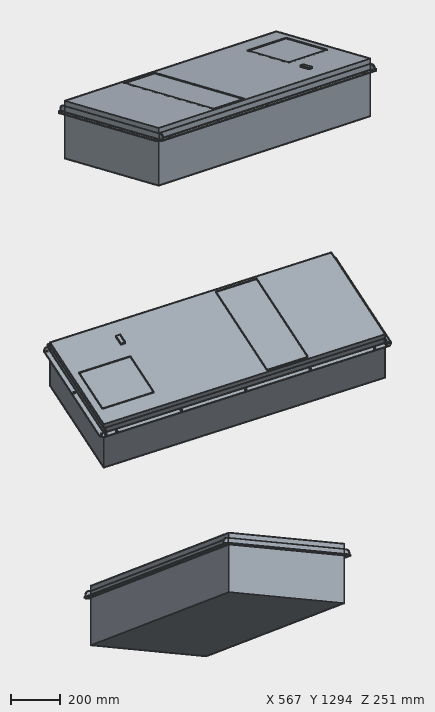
import cadquery as cq

overall_length = 1294.0
overall_width = 567.0
overall_height = 251.0
box_height = 245.0
flange_reach = 23.0
box_length = overall_length - 2 * flange_reach
box_width = overall_width - 2 * flange_reach

flange_bottom = 195.0
flange_thickness = 3.0
frame_top = 223.0
frame_height = frame_top - flange_bottom
leg_projection = 0.6
end_leg_thickness = 4.0
end_leg_gap = box_length + 2 * leg_projection - 2 * end_leg_thickness
flange_corner_chamfer = 13.0
ear_corner_radius = 15.0

hole_diameter = 8.0
hole_line_inset = flange_reach / 2
side_hole_x = overall_width / 2 - hole_line_inset
end_hole_y = overall_length / 2 - hole_line_inset
corner_hole_x = 264.0
side_hole_pitch = 286.0
side_hole_steps = (-2, -1, 0, 1, 2)

panel_depth = 4.0
square_panel_size = 228.0
square_panel_center = (-61.0, 476.0)
wide_panel_width = 497.0
wide_panel_length = 181.0
wide_panel_center = (0, -197.0)
block_width = 49.0
block_length = 20.0
block_center = (153.0, 360.0)


def make_box():
    return cq.Workplane("XY").box(box_width, box_length, box_height, centered=(True, True, False))


def make_flange():
    """Flat plate around the box with its four corners cut off."""
    plate = cq.Workplane("XY", origin=(0, 0, flange_bottom)).rect(overall_width, overall_length)
    return plate.extrude(flange_thickness).edges("|Z").chamfer(flange_corner_chamfer)


def make_side_legs():
    """Upright legs along both sides, ending where they meet the end legs."""
    level = cq.Workplane("XY", origin=(0, 0, flange_bottom))
    return level.rect(box_width + 2 * leg_projection, end_leg_gap).extrude(frame_height)


def make_end_leg(end):
    """Upright leg across one end (-1 or 1), reaching past the box as a rounded ear on both sides."""
    center_y = end * (end_leg_gap + end_leg_thickness) / 2
    level = cq.Workplane("XY", origin=(0, center_y, flange_bottom))
    plate = level.rect(overall_width, end_leg_thickness).extrude(frame_height)
    return plate.edges("|Y and >Z").fillet(ear_corner_radius)


def make_block():
    level = cq.Workplane("XY", origin=(0, 0, box_height)).center(*block_center)
    return level.rect(block_width, block_length).extrude(overall_height - box_height)


def make_panel(center, width, length):
    """Cutter for a shallow rectangular recess in the top face."""
    floor = cq.Workplane("XY", origin=(0, 0, box_height - panel_depth)).center(*center)
    return floor.rect(width, length).extrude(panel_depth)


def make_holes():
    """Cutters for the holes along both sides and both ends of the flange."""
    points = [(side * side_hole_x, step * side_hole_pitch) for side in (-1, 1) for step in side_hole_steps]
    points += [(x, end * end_hole_y) for end in (-1, 1) for x in (-corner_hole_x, 0, corner_hole_x)]
    level = cq.Workplane("XY", origin=(0, 0, flange_bottom))
    return level.pushPoints(points).circle(hole_diameter / 2).extrude(flange_thickness)


result = make_box().union(make_flange()).union(make_side_legs()).union(make_block())
for end in (-1, 1):
    result = result.union(make_end_leg(end))
result = result.cut(make_panel(square_panel_center, square_panel_size, square_panel_size))
result = result.cut(make_panel(wide_panel_center, wide_panel_width, wide_panel_length))
result = result.cut(make_holes())